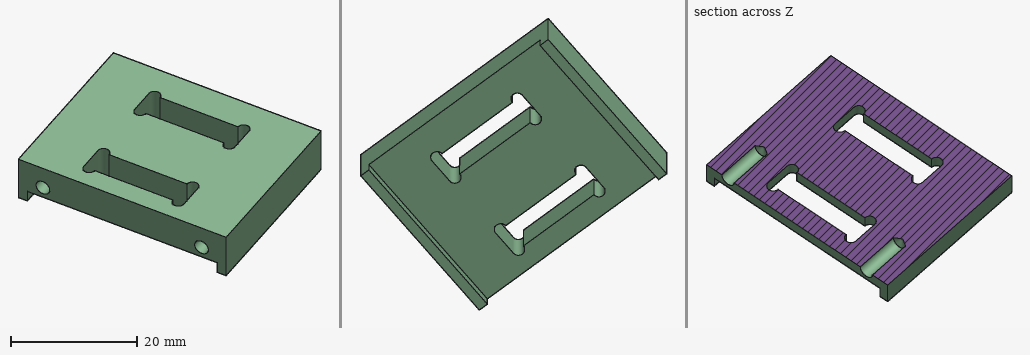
import cadquery as cq
import math

length = 38.0
width = 30.0
height = 8.0

leg_thickness = 1.65
channel_depth = 2.0

window_length = 18.3
window_width = 4.5
relief_radius = 1.0
window_centres_y = (7.0, -9.1)

hole_diameter = 2.5
hole_spacing = 29.0
hole_height = height / 2
hole_depth = 8.0
drill_tip_angle = 118.0


def make_plate():
    plate = cq.Workplane("XY").box(length, width, height, centered=(True, True, False))
    channel = cq.Workplane("XY").box(
        length - 2 * leg_thickness, width, channel_depth, centered=(True, True, False)
    )
    return plate.cut(channel)


def make_window(centre_y):
    """Rectangular window whose ends are slots that overrun its long sides."""
    relief_offset = window_length / 2 - relief_radius
    relief_length = window_width + 2 * relief_radius
    window = (
        cq.Workplane("XY")
        .center(0, centre_y)
        .rect(2 * relief_offset, window_width)
        .extrude(height)
    )
    reliefs = (
        cq.Workplane("XY")
        .center(0, centre_y)
        .pushPoints([(-relief_offset, 0), (relief_offset, 0)])
        .slot2D(relief_length, 2 * relief_radius, 90)
        .extrude(height)
    )
    return window.union(reliefs)


def make_hole(centre_x):
    """Drilled hole along +Y with a conical bottom, revolved about its axis."""
    radius = hole_diameter / 2
    tip_length = radius / math.tan(math.radians(drill_tip_angle / 2))
    return (
        cq.Workplane("XY")
        .workplane(offset=hole_height)
        .center(centre_x, -width / 2)
        .moveTo(0, 0)
        .lineTo(radius, 0)
        .lineTo(radius, hole_depth)
        .lineTo(0, hole_depth + tip_length)
        .close()
        .revolve(360, (0, 0), (0, 1))
    )


result = make_plate()
for window_y in window_centres_y:
    result = result.cut(make_window(window_y))
for side in (-1, 1):
    result = result.cut(make_hole(side * hole_spacing / 2))